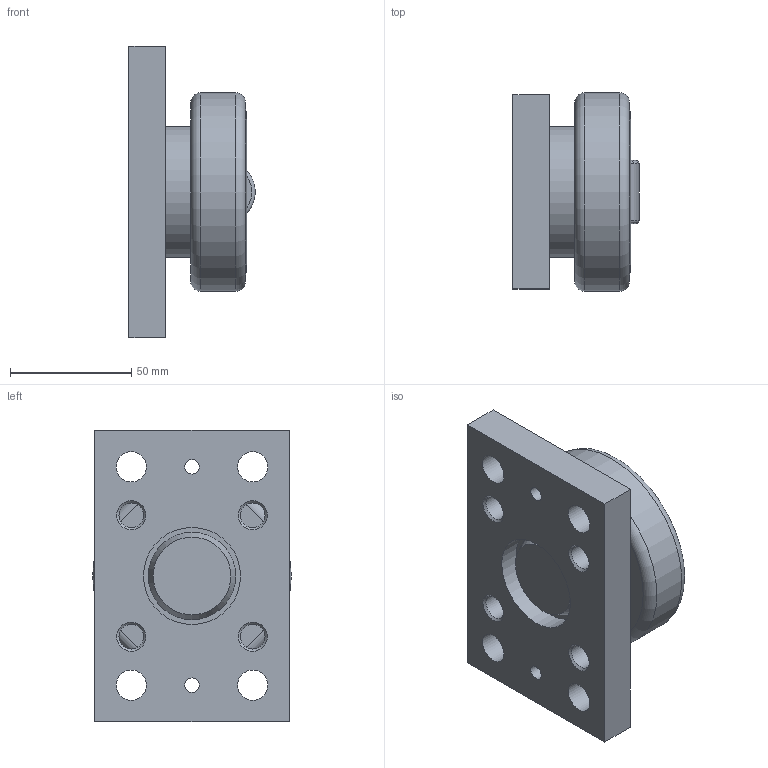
import cadquery as cq

plate_thickness = 15.0
plate_width = 80.0
plate_height = 120.0

hole_offset_y = 25.0
outer_row_z = 45.0
screw_row_z = 25.0
mounting_hole_diameter = 12.5
dowel_hole_diameter = 6.0
screw_hole_diameter = 10.2
screw_chamfer_diameter = 12.0

recess_diameter = 40.0
pin_end_depth = 4.0
pin_chamfer_length = 4.4
recess_depth = pin_end_depth + pin_chamfer_length
pin_diameter = 36.0
pin_chamfer_width = 2.0

hub_diameter = 54.0

wheel_diameter = 81.8
wheel_start_x = 25.5
wheel_end_x = 48.0
wheel_fillet = 4.0
cone_top_diameter = 58.0
cone_height = 0.5

overall_length = 52.0
roller_diameter = 26.0
roller_length = 26.0
roller_fillet = 1.4


def disc_along_x(start_x, end_x, diameter):
    """Cylinder about the X axis between two X positions."""
    return cq.Workplane("YZ").workplane(offset=start_x).circle(diameter / 2).extrude(end_x - start_x)


def truncated_cone_along_x(start_x, end_x, start_diameter, end_diameter):
    """Truncated cone about the X axis between two X positions."""
    return (
        cq.Workplane("XY")
        .moveTo(start_x, 0)
        .lineTo(start_x, start_diameter / 2)
        .lineTo(end_x, end_diameter / 2)
        .lineTo(end_x, 0)
        .close()
        .revolve(360, (0, 0, 0), (1, 0, 0))
    )


def make_plate():
    """Rectangular plate, centred on the X axis."""
    return cq.Workplane("YZ").rect(plate_width, plate_height).extrude(plate_thickness)


def drill_plate(plate):
    """Mounting, dowel and countersunk screw holes, all through the plate."""
    mounting_holes = (
        cq.Workplane("YZ")
        .rect(2 * hole_offset_y, 2 * outer_row_z, forConstruction=True)
        .vertices()
        .circle(mounting_hole_diameter / 2)
        .extrude(plate_thickness)
    )
    dowel_holes = (
        cq.Workplane("YZ")
        .pushPoints([(0, outer_row_z), (0, -outer_row_z)])
        .circle(dowel_hole_diameter / 2)
        .extrude(plate_thickness)
    )
    plate = plate.cut(mounting_holes).cut(dowel_holes)

    chamfer_depth = (screw_chamfer_diameter - screw_hole_diameter) / 2
    countersink = truncated_cone_along_x(0, chamfer_depth, screw_chamfer_diameter, screw_hole_diameter)
    screw_hole = disc_along_x(0, plate_thickness, screw_hole_diameter).union(countersink)
    for side_y in (-hole_offset_y, hole_offset_y):
        for side_z in (-screw_row_z, screw_row_z):
            plate = plate.cut(screw_hole.translate((0, side_y, side_z)))
    return plate


def cut_recess(plate):
    """Round recess in the outer face that leaves the chamfered pin end standing."""
    recess = disc_along_x(0, recess_depth, recess_diameter)
    pin_end = disc_along_x(pin_end_depth, plate_thickness, pin_diameter)
    pin_end = pin_end.faces("<X").chamfer(pin_chamfer_length, pin_chamfer_width)
    return plate.cut(recess).union(pin_end)


def make_wheel():
    """Wheel with both rims rounded; its far face rises as a shallow cone to a flat centre."""
    wheel = disc_along_x(wheel_start_x, wheel_end_x, wheel_diameter).edges().fillet(wheel_fillet)
    face_diameter = wheel_diameter - 2 * wheel_fillet
    cone_end_x = wheel_end_x + cone_height
    return wheel.union(truncated_cone_along_x(wheel_end_x, cone_end_x, face_diameter, cone_top_diameter))


def make_side_roller():
    """Round-edged roller along Y whose crest sets the overall length."""
    return (
        cq.Workplane("XZ")
        .center(overall_length - roller_diameter / 2, 0)
        .circle(roller_diameter / 2)
        .extrude(roller_length / 2, both=True)
        .faces("<Y or >Y")
        .edges()
        .fillet(roller_fillet)
    )


body = cut_recess(drill_plate(make_plate()))
hub = disc_along_x(plate_thickness, wheel_start_x, hub_diameter)
result = body.union(hub).union(make_wheel()).union(make_side_roller())